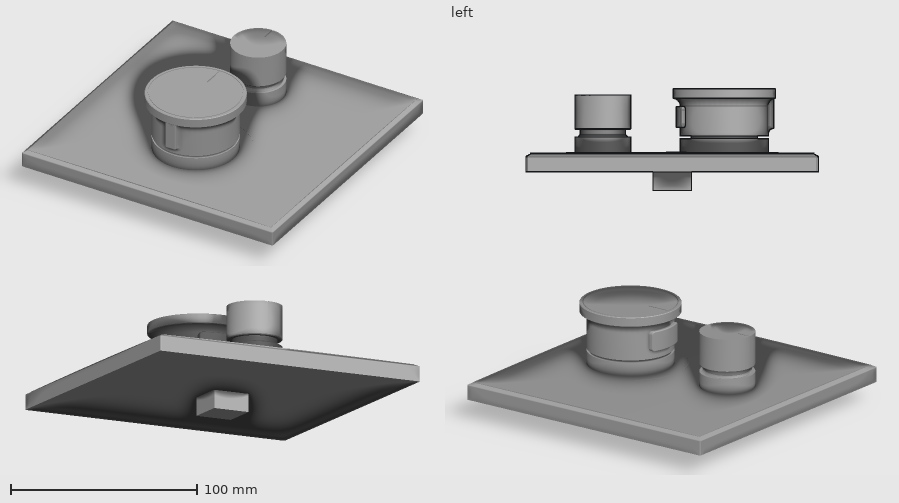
import cadquery as cq
import math

PLATE_SIDE = 157.0
PLATE_CORNER_RADIUS = 0.8
PLATE_WALL_HEIGHT = 8.3
BEVEL_WIDTH = 2.4
BEVEL_HEIGHT = 1.3
BEVEL_EDGE_RADIUS = 0.6
CROWN_TOP = 10.5
CROWN_CORNER_STEP = 0.2

STEM_SIDE = 20.7
STEM_LENGTH = 10.0

HANDLE_Y = -28.0
HANDLE_TOP = 44.7
HUB_RADIUS = 23.7
HUB_BASE_TOP = 17.9
HUB_GAP = 1.4
HUB_BOTTOM = HUB_BASE_TOP + HUB_GAP
HUB_NECK_RADIUS = 17.9
COVE_BOTTOM = 35.3
FLANGE_BOTTOM = 39.4
FLANGE_RADIUS = 27.5
FLANGE_EDGE = 0.3
DISC_RADIUS = 25.3
DISC_GAP = 0.5
MARK_DEPTH = 0.3
MARK_WIDTH = 0.8
HANDLE_MARK_END = 12.1

RIB_REACH = 26.5
RIB_WIDTH = 6.6
RIB_BOTTOM = 23.2
RIB_CORNER_RADIUS = 0.8
RIB_CREST_RADIUS = 0.6
RIB_FOOT_RADIUS = 2.5

BUTTON_REACH = 25.9
BUTTON_WIDTH = 22.6
BUTTON_BOTTOM = 23.7
BUTTON_TOP = 35.2
BUTTON_CORNER_RADIUS = 1.9
BUTTON_EDGE = 0.6

KNOB_Y = 37.2
KNOB_RADIUS = 15.0
KNOB_BASE_TOP = 18.8
KNOB_NECK_RADIUS = 12.2
KNOB_NECK_FOOT = 1.1
KNOB_BOTTOM = 22.8
KNOB_TOP = 41.3
KNOB_EDGE = 0.5
KNOB_MARK_LENGTH = 8.2

SCALE_RADIUS = 31.2
SCALE_WIDTH = 0.6
SCALE_HEIGHT = 0.2
SCALE_TOP = CROWN_TOP + SCALE_HEIGHT
SCALE_START = 11.5
SCALE_END = 48.5


def make_plate():
    """Square plate with a bevelled rim and a shallow spherical crown."""
    bevel_angle = math.degrees(math.atan2(BEVEL_WIDTH, BEVEL_HEIGHT))
    rim_height = PLATE_WALL_HEIGHT + BEVEL_HEIGHT
    wall = cq.Workplane("XY").rect(PLATE_SIDE, PLATE_SIDE).extrude(PLATE_WALL_HEIGHT)
    plate = wall.faces(">Z").wires().toPending().extrude(BEVEL_HEIGHT, taper=bevel_angle)
    slab = BEVEL_HEIGHT / 4
    bevel_base = cq.selectors.BoxSelector(
        (-PLATE_SIDE, -PLATE_SIDE, PLATE_WALL_HEIGHT - slab),
        (PLATE_SIDE, PLATE_SIDE, PLATE_WALL_HEIGHT + slab),
    )
    plate = plate.edges(bevel_base).fillet(BEVEL_EDGE_RADIUS)
    rounded_block = cq.Workplane("XY").rect(PLATE_SIDE, PLATE_SIDE).extrude(rim_height)
    plate = plate.intersect(rounded_block.edges("|Z").fillet(PLATE_CORNER_RADIUS))
    return plate.union(make_crown(rim_height))


def make_crown(rim_height):
    """Spherical cap cut to the square inside the bevel."""
    crown_side = PLATE_SIDE - 2 * BEVEL_WIDTH
    corner_radius = crown_side / math.sqrt(2)
    corner_height = rim_height + CROWN_CORNER_STEP
    rise = CROWN_TOP - corner_height
    sphere_radius = (corner_radius**2 + rise**2) / (2 * rise)
    cap = (
        cq.Workplane("XZ")
        .moveTo(0, 0)
        .lineTo(corner_radius, 0)
        .lineTo(corner_radius, corner_height)
        .radiusArc((0, CROWN_TOP), -sphere_radius)
        .close()
        .revolve(360, (0, 0), (0, 1))
    )
    column = cq.Workplane("XY").rect(crown_side, crown_side).extrude(HANDLE_TOP)
    return cap.intersect(column)


def make_stem():
    """Square stem below the plate."""
    return cq.Workplane("XY").rect(STEM_SIDE, STEM_SIDE).extrude(-STEM_LENGTH)


def revolve_profile(profile, centre_y):
    """Close a half profile in (radius, height) on its axis and revolve it there."""
    return profile.close().revolve(360, (0, 0), (0, 1)).translate((0, centre_y, 0))


def make_handle_body():
    """Base ring, narrow neck, hub with a cove, and the wide top flange."""
    underside_radius = FLANGE_RADIUS - FLANGE_EDGE
    profile = (
        cq.Workplane("XZ")
        .lineTo(HUB_RADIUS, 0)
        .lineTo(HUB_RADIUS, HUB_BASE_TOP)
        .lineTo(HUB_NECK_RADIUS, HUB_BASE_TOP)
        .lineTo(HUB_NECK_RADIUS, HUB_BOTTOM)
        .lineTo(HUB_RADIUS, HUB_BOTTOM)
        .lineTo(HUB_RADIUS, COVE_BOTTOM)
        .tangentArcPoint((underside_radius, FLANGE_BOTTOM), relative=False)
        .lineTo(FLANGE_RADIUS, FLANGE_BOTTOM + FLANGE_EDGE)
        .lineTo(FLANGE_RADIUS, HANDLE_TOP - FLANGE_EDGE)
        .lineTo(FLANGE_RADIUS - FLANGE_EDGE, HANDLE_TOP)
        .lineTo(0, HANDLE_TOP)
    )
    return revolve_profile(profile, HANDLE_Y)


def make_rib():
    """Grip rib whose sides and lower end flare into the hub with concave arcs."""
    rib_top = FLANGE_BOTTOM + FLANGE_EDGE
    rib_height = rib_top - RIB_BOTTOM
    hub = cq.Workplane("XY").workplane(offset=HUB_BOTTOM).circle(HUB_RADIUS)
    hub = hub.extrude(rib_top - HUB_BOTTOM)
    bar = (
        cq.Workplane("XY")
        .workplane(offset=RIB_BOTTOM)
        .center(0, -RIB_REACH / 2)
        .rect(RIB_WIDTH, RIB_REACH)
        .extrude(rib_height)
        .edges("|Y and <Z")
        .fillet(RIB_CORNER_RADIUS)
    )
    bar = bar.faces("<Y").edges("not >Z").fillet(RIB_CREST_RADIUS)
    foot = cq.selectors.BoxSelector(
        (-RIB_WIDTH, -HUB_RADIUS - RIB_CORNER_RADIUS, RIB_BOTTOM - RIB_CORNER_RADIUS),
        (RIB_WIDTH, -HUB_NECK_RADIUS, COVE_BOTTOM),
    )
    rib = hub.union(bar).edges(foot).fillet(RIB_FOOT_RADIUS)
    return rib.translate((0, HANDLE_Y, 0))


def make_button():
    """Rounded pad with a face concentric with the hub."""
    height = BUTTON_TOP - BUTTON_BOTTOM
    pad = (
        cq.Workplane("XZ")
        .center(0, BUTTON_BOTTOM + height / 2)
        .rect(BUTTON_WIDTH, height)
        .extrude(-FLANGE_RADIUS)
        .edges("|Y")
        .fillet(BUTTON_CORNER_RADIUS)
    )
    limit = cq.Workplane("XY").circle(BUTTON_REACH).extrude(HANDLE_TOP)
    button = pad.intersect(limit).faces(">Y").edges().fillet(BUTTON_EDGE)
    return button.translate((0, HANDLE_Y, 0))


def make_mark(outer_y, length, top):
    """Cutter for a straight index groove running in -Y from outer_y."""
    groove = cq.Workplane("XY").workplane(offset=top - MARK_DEPTH)
    return groove.center(0, outer_y - length / 2).rect(MARK_WIDTH, length).extrude(2 * MARK_DEPTH)


def make_ring(inner_radius, outer_radius, bottom, height):
    """Flat ring round the handle axis."""
    ring = cq.Workplane("XY").workplane(offset=bottom).center(0, HANDLE_Y)
    return ring.circle(outer_radius).circle(inner_radius).extrude(height)


def make_handle():
    """Handle with its rib, button, inset top disc and index groove."""
    handle = make_handle_body().union(make_rib()).union(make_button())
    disc_gap = make_ring(DISC_RADIUS, DISC_RADIUS + DISC_GAP, HANDLE_TOP - MARK_DEPTH, 2 * MARK_DEPTH)
    mark = make_mark(HANDLE_Y + DISC_RADIUS, DISC_RADIUS - HANDLE_MARK_END, HANDLE_TOP)
    return handle.cut(disc_gap).cut(mark)


def make_knob():
    """Flow knob on a waisted base, with an index groove at its +Y edge."""
    profile = (
        cq.Workplane("XZ")
        .lineTo(KNOB_RADIUS, 0)
        .lineTo(KNOB_RADIUS, KNOB_BASE_TOP)
        .lineTo(KNOB_NECK_RADIUS + KNOB_NECK_FOOT, KNOB_BASE_TOP)
        .lineTo(KNOB_NECK_RADIUS, KNOB_BASE_TOP + KNOB_NECK_FOOT)
        .lineTo(KNOB_NECK_RADIUS, KNOB_BOTTOM)
        .lineTo(KNOB_RADIUS - KNOB_EDGE, KNOB_BOTTOM)
        .lineTo(KNOB_RADIUS, KNOB_BOTTOM + KNOB_EDGE)
        .lineTo(KNOB_RADIUS, KNOB_TOP)
        .lineTo(0, KNOB_TOP)
    )
    mark = make_mark(KNOB_Y + KNOB_RADIUS, KNOB_MARK_LENGTH, KNOB_TOP)
    return revolve_profile(profile, KNOB_Y).cut(mark)


def make_scale_arc(side):
    """Raised temperature arc; side is +1 for +X and -1 for -X."""

    def on_arc(radius, degrees):
        angle = math.radians(degrees)
        return (side * radius * math.sin(angle), HANDLE_Y + radius * math.cos(angle))

    inner_radius = SCALE_RADIUS - SCALE_WIDTH / 2
    outer_radius = SCALE_RADIUS + SCALE_WIDTH / 2
    middle = (SCALE_START + SCALE_END) / 2
    return (
        cq.Workplane("XY")
        .moveTo(*on_arc(inner_radius, SCALE_START))
        .threePointArc(on_arc(inner_radius, middle), on_arc(inner_radius, SCALE_END))
        .lineTo(*on_arc(outer_radius, SCALE_END))
        .threePointArc(on_arc(outer_radius, middle), on_arc(outer_radius, SCALE_START))
        .close()
        .extrude(SCALE_TOP)
    )


result = make_plate().union(make_stem()).union(make_handle()).union(make_knob())
for arc_side in (-1, 1):
    result = result.union(make_scale_arc(arc_side))